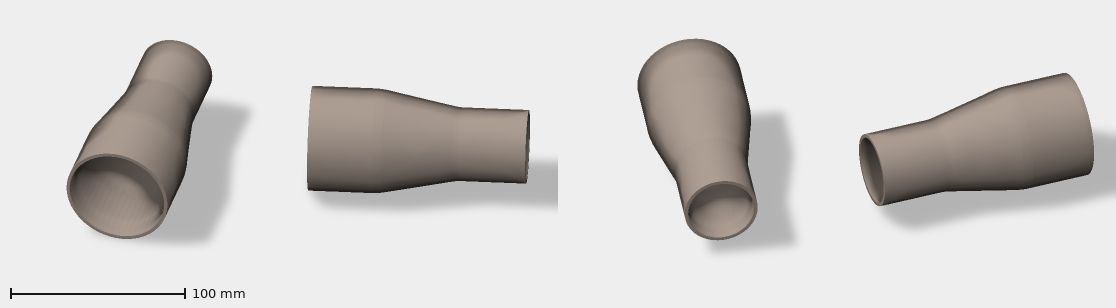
import cadquery as cq
import math

length = 125.0
wide_radius = 60.2 / 2
narrow_radius = 42.4 / 2
wall = 2.0
wide_end = 37.0
narrow_start = 87.1

wide_bend = wide_radius
narrow_bend = narrow_radius

wide_centre = wide_radius - wide_bend
narrow_centre = narrow_radius + narrow_bend

centre_run = narrow_start - wide_end
centre_rise = narrow_centre - wide_centre
centre_distance = math.hypot(centre_run, centre_rise)
taper_angle = math.atan2(centre_run, centre_rise) - math.acos((wide_bend + narrow_bend) / centre_distance)


def wide_bend_point(inset, angle):
    """Point on the convex bend, turned by angle from the end of the wide pipe."""
    radius = wide_bend - inset
    return (wide_centre + radius * math.cos(angle), wide_end + radius * math.sin(angle))


def narrow_bend_point(inset, angle):
    """Point on the concave bend, turned by angle from the start of the narrow pipe."""
    radius = narrow_bend + inset
    return (narrow_centre - radius * math.cos(angle), narrow_start - radius * math.sin(angle))


def solid_reducer(inset):
    """Solid reducer shape with its round surface moved inward by inset."""
    half_profile = (
        cq.Workplane("XY")
        .lineTo(wide_radius - inset, 0)
        .lineTo(wide_radius - inset, wide_end)
        .threePointArc(wide_bend_point(inset, taper_angle / 2), wide_bend_point(inset, taper_angle))
        .lineTo(*narrow_bend_point(inset, taper_angle))
        .threePointArc(narrow_bend_point(inset, taper_angle / 2), narrow_bend_point(inset, 0))
        .lineTo(narrow_radius - inset, length)
        .lineTo(0, length)
        .close()
    )
    return half_profile.revolve(360, (0, 0), (0, 1))


result = solid_reducer(0).cut(solid_reducer(wall))